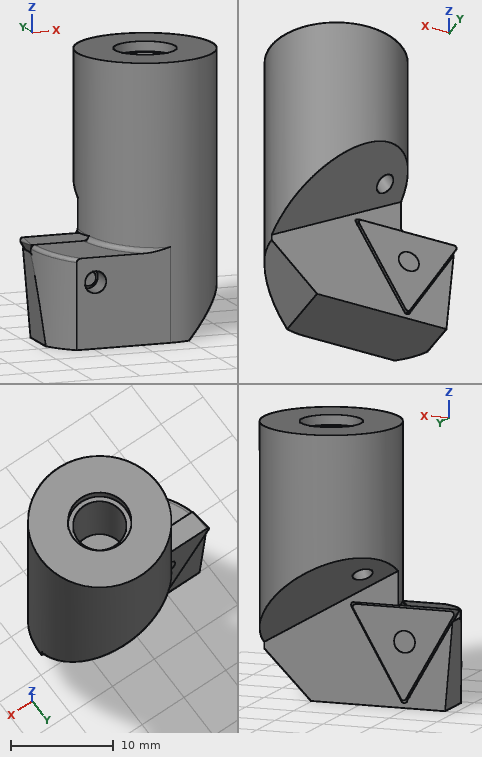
import cadquery as cq
import math


shank_radius = 7.0
total_height = 28.0
bevel_start_x = 2.1

bore_radius = 2.6
bore_depth = 9.0
counterbore_radius = 3.1
counterbore_depth = 1.0
bore_floor_z = total_height - bore_depth
coolant_radius = 1.0
coolant_entry = cq.Vector(-1.45, 0.85, bore_floor_z)
coolant_exit = cq.Vector(-4.17, 2.33, 13.48)

gullet_height = 9.52
gullet_tilt = math.radians(30)

insert_inradius = 3.175
insert_nose_radius = 0.3
insert_thickness = 2.38
insert_relief = 7.0
insert_face_y = 0.25
insert_nose_x = -12.9
insert_top_z = 10.03
nose_center_distance = 2 * (insert_inradius - insert_nose_radius)
insert_center_x = (
    insert_nose_x + insert_nose_radius + nose_center_distance * math.cos(math.radians(30))
)
insert_center_z = insert_top_z - insert_inradius
seat_clearance = 0.15

head_back_y = 0.07
head_side_radius = 8.6
head_side_center_y = -0.35
head_corner_x = -9.7
head_side_center_x = head_corner_x + math.sqrt(
    head_side_radius**2 - (shank_radius + head_side_center_y) ** 2
)
flank_bottom_x = -11.9
flank_lean = math.radians(5)
ledge_fillet = 0.5
ledge_round = 0.4

screw_radius = 1.1
screw_chamfer = 0.33
screw_tip_y = -5.0
screw_x = -7.74
screw_z = 6.65

reach = 30.0


def ledge_z(y):
    """Height of the sloping ledge, in line with the top flank of the insert."""
    return insert_top_z + (y - insert_face_y) * math.tan(math.radians(insert_relief))


def insert_prism(inradius, taper):
    """Rounded triangle with one side on top, from the insert's face down to its seat."""
    corners = [
        (
            2 * inradius * math.cos(math.radians(angle)),
            2 * inradius * math.sin(math.radians(angle)),
        )
        for angle in (30, 150, 270)
    ]
    outline = cq.Sketch().polygon(corners + corners[:1]).vertices().fillet(insert_nose_radius)
    return (
        cq.Workplane("XZ", origin=(insert_center_x, insert_face_y, insert_center_z))
        .placeSketch(outline)
        .extrude(insert_thickness, taper=taper)
    )


def screw_cylinder(front_y):
    """Cylinder on the screw axis, from front_y up to the face of the insert."""
    return (
        cq.Workplane("XZ", origin=(screw_x, insert_face_y, screw_z))
        .circle(screw_radius)
        .extrude(insert_face_y - front_y)
    )


def make_head_and_shank():
    """Shank with the head blended onto its side, before any cutting."""
    shank = cq.Workplane("XY").circle(shank_radius).extrude(total_height)
    head = (
        cq.Workplane("XY")
        .center(head_side_center_x, head_side_center_y)
        .circle(head_side_radius)
        .extrude(total_height)
    )
    rear_y = head_back_y + 1
    below_ledge_outline = [
        (rear_y, 0),
        (rear_y, ledge_z(rear_y)),
        (-reach, ledge_z(-reach)),
        (-reach, 0),
    ]
    below_ledge = (
        cq.Workplane("YZ")
        .polyline(below_ledge_outline)
        .close()
        .extrude(-reach)
    )
    body = shank.union(head.intersect(below_ledge))
    body = body.edges("%ELLIPSE").edges(">X").fillet(ledge_fillet)
    front_trim = cq.Workplane("XY").box(reach, reach, reach).translate(
        (0, -shank_radius - reach / 2, 0)
    )
    body = body.cut(front_trim)
    outer_edge = cq.selectors.NearestToPointSelector(
        (head_side_center_x - head_side_radius, head_side_center_y, ledge_z(head_side_center_y))
    )
    return body.edges("%ELLIPSE").edges(outer_edge).fillet(ledge_round)


def make_flank_cutter():
    """Space left of the leaning plane on the left of the head."""
    top_x = flank_bottom_x - reach * math.tan(flank_lean)
    return (
        cq.Workplane("XZ")
        .polyline([(flank_bottom_x, 0), (top_x, reach), (-reach, reach), (-reach, 0)])
        .close()
        .extrude(reach / 2, both=True)
    )


def make_bevel_cutter():
    """45 degree wedge under the side of the shank away from the head."""
    return (
        cq.Workplane("XZ")
        .polyline([(bevel_start_x, 0), (bevel_start_x + reach, reach), (bevel_start_x + reach, 0)])
        .close()
        .extrude(reach / 2, both=True)
    )


def make_gullet_cutter():
    """Space behind the flat back of the head and below the tilted gullet plane."""
    normal = cq.Vector(
        -math.sin(gullet_tilt) * math.cos(gullet_tilt),
        math.sin(gullet_tilt),
        -math.cos(gullet_tilt) ** 2,
    )
    plane = cq.Plane(origin=(0, 0, gullet_height), normal=normal)
    below_plane = cq.Workplane(plane).rect(2 * reach, 2 * reach).extrude(reach)
    behind = cq.Workplane("XY").box(2 * reach, reach, 2 * reach).translate(
        (0, head_back_y + reach / 2, 0)
    )
    return below_plane.intersect(behind)


def make_bore_cutter():
    """Stepped blind bore from the top, with the slanted coolant hole to the gullet."""
    top = cq.Workplane("XY", origin=(0, 0, total_height))
    bore = top.circle(bore_radius).extrude(-bore_depth)
    counterbore = top.circle(counterbore_radius).extrude(-counterbore_depth)
    direction = (coolant_exit - coolant_entry).normalized()
    start = coolant_entry - direction * coolant_radius
    length = (coolant_exit - start).Length + 2 * coolant_radius
    coolant_hole = cq.Solid.makeCylinder(coolant_radius, length, start, direction)
    return bore.union(counterbore).union(cq.Workplane(coolant_hole))


def make_holder():
    holder = make_head_and_shank()
    holder = holder.cut(make_flank_cutter())
    holder = holder.cut(make_bevel_cutter())
    holder = holder.cut(make_gullet_cutter())
    holder = holder.cut(make_bore_cutter())
    holder = holder.cut(insert_prism(insert_inradius + seat_clearance, 0))
    return holder.cut(screw_cylinder(-reach))


def make_insert():
    return insert_prism(insert_inradius, insert_relief).cut(screw_cylinder(-reach))


def make_screw():
    """Pin through the insert, with a chamfered tip sunk below the front of the head."""
    return screw_cylinder(screw_tip_y).faces("<Y").chamfer(screw_chamfer)


holder = make_holder()
insert = make_insert()
screw = make_screw()

result = cq.Compound.makeCompound([holder.solids().val(), insert.solids().val(), screw.solids().val()])